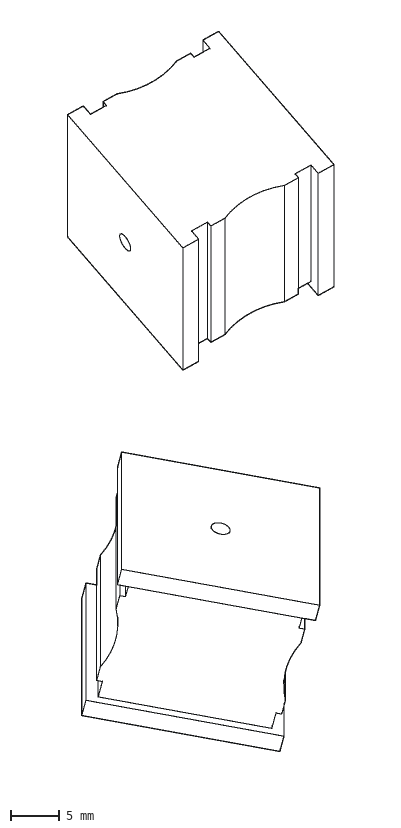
import cadquery as cq

width = 21.0
depth = 19.0
height = 21.0

plate_thickness = 2.0
core_lift = 1.0

groove_width = 2.0
groove_inset = 1.3
pad_inset = 0.7
hollow_inset = 1.5
hollow_chord = 7.48

bore_diameter = 2.0

half_width = width / 2
plate_inner_y = depth / 2 - plate_thickness
pad_outer_y = plate_inner_y - groove_width


def make_plate(side):
    """Square end plate on the -Y (side = -1) or +Y (side = 1) end."""
    center_y = side * (depth - plate_thickness) / 2
    return cq.Workplane("XY").box(width, plate_thickness, height).translate((0, center_y, 0))


def make_core():
    """Core with grooves beside the plates and a concave hollow on each X side."""
    groove_x = half_width - groove_inset
    pad_x = half_width - pad_inset
    hollow_x = half_width - hollow_inset
    hollow_y = hollow_chord / 2
    return (
        cq.Workplane("XY", origin=(0, 0, core_lift - height / 2))
        .moveTo(groove_x, -plate_inner_y)
        .lineTo(groove_x, -pad_outer_y)
        .lineTo(pad_x, -pad_outer_y)
        .lineTo(pad_x, -hollow_y)
        .threePointArc((hollow_x, 0), (pad_x, hollow_y))
        .lineTo(pad_x, pad_outer_y)
        .lineTo(groove_x, pad_outer_y)
        .lineTo(groove_x, plate_inner_y)
        .lineTo(-groove_x, plate_inner_y)
        .lineTo(-groove_x, pad_outer_y)
        .lineTo(-pad_x, pad_outer_y)
        .lineTo(-pad_x, hollow_y)
        .threePointArc((-hollow_x, 0), (-pad_x, -hollow_y))
        .lineTo(-pad_x, -pad_outer_y)
        .lineTo(-groove_x, -pad_outer_y)
        .lineTo(-groove_x, -plate_inner_y)
        .close()
        .extrude(height - core_lift)
    )


body = make_core()
for side in (-1, 1):
    body = body.union(make_plate(side))

bore = cq.Workplane("XZ").circle(bore_diameter / 2).extrude(depth / 2, both=True)
result = body.cut(bore)